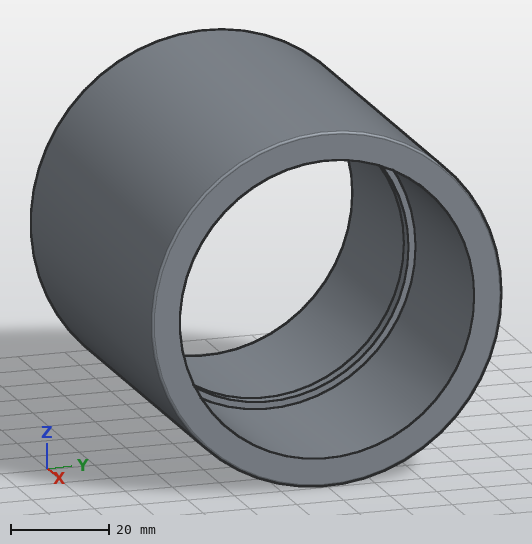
import cadquery as cq

length = 79.0
outer_diameter = 75.0
socket_diameter = 63.0
stop_diameter = 60.0
stop_width = 3.0
edge_radius = 0.5

socket_depth = (length - stop_width) / 2


def cylinder_along_x(diameter, start, height):
    """Solid cylinder on the X axis, from start towards +X."""
    return cq.Workplane("YZ", origin=(start, 0, 0)).circle(diameter / 2).extrude(height)


body = cylinder_along_x(outer_diameter, -length / 2, length)
body = body.faces("<X or >X").edges().fillet(edge_radius)

result = body.cut(cylinder_along_x(stop_diameter, -length / 2, length))

for start in (-length / 2, length / 2 - socket_depth):
    result = result.cut(cylinder_along_x(socket_diameter, start, socket_depth))